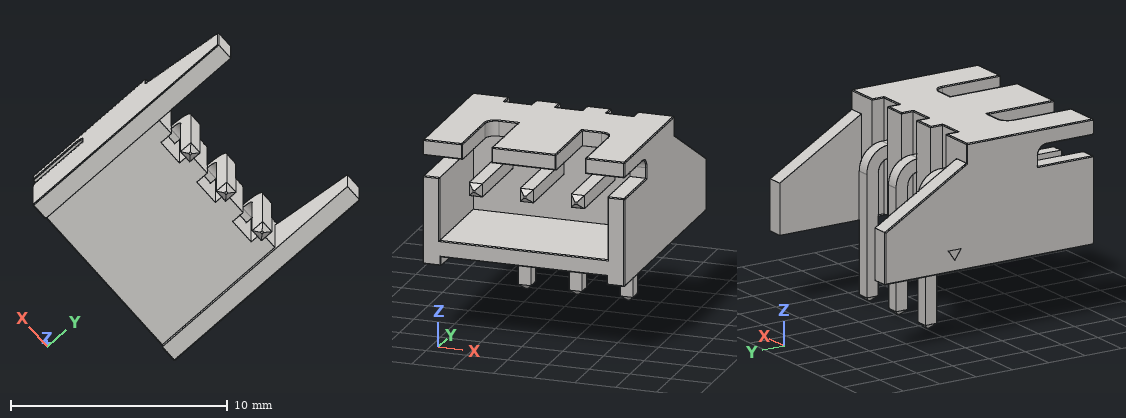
import cadquery as cq
import math


housing_width = 9.9
housing_depth = 11.5
housing_height = 6.1
side_wall = 0.83
floor_thickness = 0.8
roof_thickness = 0.77
foot_height = 0.43
foot_width = 0.89
block_depth = 7.0
cavity_depth = 4.72

wing_front_height = 5.14
wing_slope = 30.0

edge_break = 0.05

corner_radius = 0.5
roof_slot_inner = 1.58
roof_slot_outer = 3.01
roof_slot_depth = 3.7
side_slot_depth = 3.08
side_slot_height = 1.01

pin_count = 3
outer_pin_spacing = 5.0
pin_size = 0.64
pin_row_z = 3.77
pin_tail_y = 7.6
pin_mating_tip_y = 0.17
pin_tail_length = 3.4
pin_bend_radius = 1.24
pin_tip_chamfer = 0.26

notch_width = 1.29
notch_depth = 0.64

marker_width = 0.7
marker_height = 0.51
marker_top_z = 1.06
marker_y = 7.67
marker_depth = 0.12

half_width = housing_width / 2
roof_underside = housing_height - roof_thickness
floor_top = foot_height + floor_thickness
cavity_width = housing_width - 2 * side_wall
wing_length = housing_depth - block_depth
wing_rear_height = wing_front_height - wing_length * math.tan(math.radians(wing_slope))
pin_tail_tip_z = -pin_tail_length
pin_pitch = outer_pin_spacing / (pin_count - 1)
pin_positions = [(i - (pin_count - 1) / 2) * pin_pitch for i in range(pin_count)]


def box(x_range, y_range, z_range):
    """Box between the given limits on each axis."""
    sizes = [high - low for low, high in (x_range, y_range, z_range)]
    corner = (x_range[0], y_range[0], z_range[0])
    return cq.Workplane("XY").box(*sizes, centered=False).translate(corner)


def side_profile():
    """Whole housing as a solid bar with the outline of its sides."""
    outline = [
        (0, 0),
        (housing_depth, 0),
        (housing_depth, wing_rear_height),
        (block_depth, wing_front_height),
        (block_depth, housing_height),
        (0, housing_height),
    ]
    return cq.Workplane("YZ").polyline(outline).close().extrude(half_width, both=True)


def space_between_feet_and_wings():
    """Gap under the floor and the open space between the rear wings."""
    inner = half_width - foot_width
    under_floor = box((-inner, inner), (0, housing_depth), (0, foot_height))
    behind_block = box((-inner, inner), (block_depth, housing_depth), (0, housing_height))
    return under_floor.union(behind_block)


def mating_cavity():
    half_cavity = cavity_width / 2
    return box((-half_cavity, half_cavity), (0, cavity_depth), (floor_top, roof_underside))


def roof_slots():
    """Pair of key slots in the roof, each rounded at its outer rear corner."""
    slot = box(
        (roof_slot_inner, roof_slot_outer), (0, roof_slot_depth), (roof_underside, housing_height)
    )
    slot = slot.edges("|Z and >X and >Y").fillet(corner_radius)
    return slot.union(slot.mirror("YZ"))


def side_slots():
    """Slot through both side walls below the roof, rounded at its upper rear corner."""
    slot = box(
        (-half_width, half_width),
        (0, side_slot_depth),
        (roof_underside - side_slot_height, roof_underside),
    )
    slot = slot.edges("|X and >Y and >Z").fillet(corner_radius)
    gap_between_walls = box(
        (-cavity_width / 2, cavity_width / 2), (0, housing_depth), (0, housing_height)
    )
    return slot.cut(gap_between_walls)


def pin_notch(x):
    """Full-height notch in the rear face where a pin leaves the housing."""
    half_notch = notch_width / 2
    return box(
        (x - half_notch, x + half_notch),
        (block_depth - notch_depth, block_depth),
        (0, housing_height),
    )


def pin_hole(x):
    """Square hole through the back wall of the cavity."""
    half_pin = pin_size / 2
    return box(
        (x - half_pin, x + half_pin),
        (cavity_depth, block_depth),
        (pin_row_z - half_pin, pin_row_z + half_pin),
    )


def make_marker():
    """Triangular pin-one marker pointing down."""
    corners = [
        (marker_y - marker_width / 2, marker_top_z),
        (marker_y + marker_width / 2, marker_top_z),
        (marker_y, marker_top_z - marker_height),
    ]
    plate = cq.Workplane("YZ", origin=(-half_width, 0, 0)).polyline(corners).close()
    return plate.extrude(marker_depth)


def make_housing():
    housing = side_profile().cut(space_between_feet_and_wings())
    housing = housing.cut(mating_cavity()).cut(roof_slots()).cut(side_slots())
    for x in pin_positions:
        housing = housing.cut(pin_notch(x)).cut(pin_hole(x))
    housing = housing.faces("<Y or >Z or <X or >X").edges().chamfer(edge_break)
    return housing.cut(make_marker())


def make_pin(x):
    """Square right-angle pin with a rounded bend and chamfered tips."""
    half_pin = pin_size / 2
    pin_top = pin_row_z + half_pin
    pin_rear = pin_tail_y + half_pin
    outline = [
        (pin_mating_tip_y, pin_top),
        (pin_rear, pin_top),
        (pin_rear, pin_tail_tip_z),
        (pin_rear - pin_size, pin_tail_tip_z),
        (pin_rear - pin_size, pin_top - pin_size),
        (pin_mating_tip_y, pin_top - pin_size),
    ]
    pin = cq.Workplane("YZ", origin=(x, 0, 0)).polyline(outline).close()
    pin = pin.extrude(half_pin, both=True)
    pin = pin.edges("|X and >Y and >Z").fillet(pin_bend_radius)
    inner_corner = cq.selectors.NearestToPointSelector((x, pin_rear - pin_size, pin_top - pin_size))
    pin = pin.edges(inner_corner).fillet(pin_bend_radius - pin_size)
    pin = pin.faces("<Y").chamfer(pin_tip_chamfer)
    return pin.faces("<Z").chamfer(pin_tip_chamfer)


housing = make_housing()
marker = make_marker()
pins = [make_pin(x) for x in pin_positions]

result = cq.Compound.makeCompound([housing.val(), marker.val(), *[pin.val() for pin in pins]])